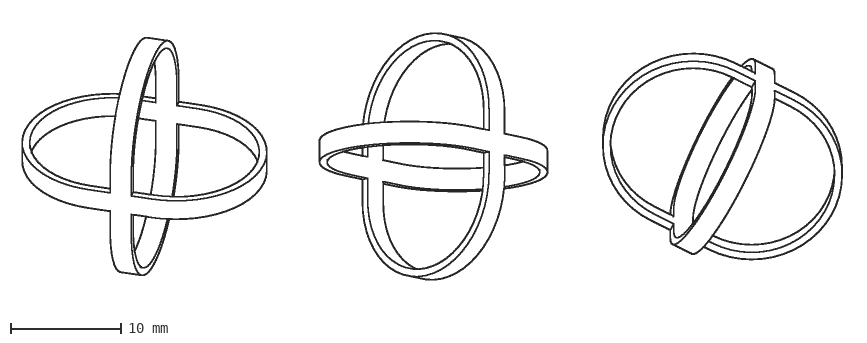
import cadquery as cq

ring_length = 22.4
ring_width = 16.4
wall_thickness = 0.7
band_width = 2.0


def oblong_ring(plane, direction):
    """Flat oblong band centred on the origin, long axis turned by direction degrees."""
    inner_length = ring_length - 2 * wall_thickness
    inner_width = ring_width - 2 * wall_thickness
    outer = cq.Workplane(plane).slot2D(ring_length, ring_width, direction)
    inner = cq.Workplane(plane).slot2D(inner_length, inner_width, direction)
    return outer.extrude(band_width / 2, both=True).cut(inner.extrude(band_width / 2, both=True))


horizontal_ring = oblong_ring("XY", 0)
vertical_ring = oblong_ring("YZ", 90)

result = horizontal_ring.union(vertical_ring)